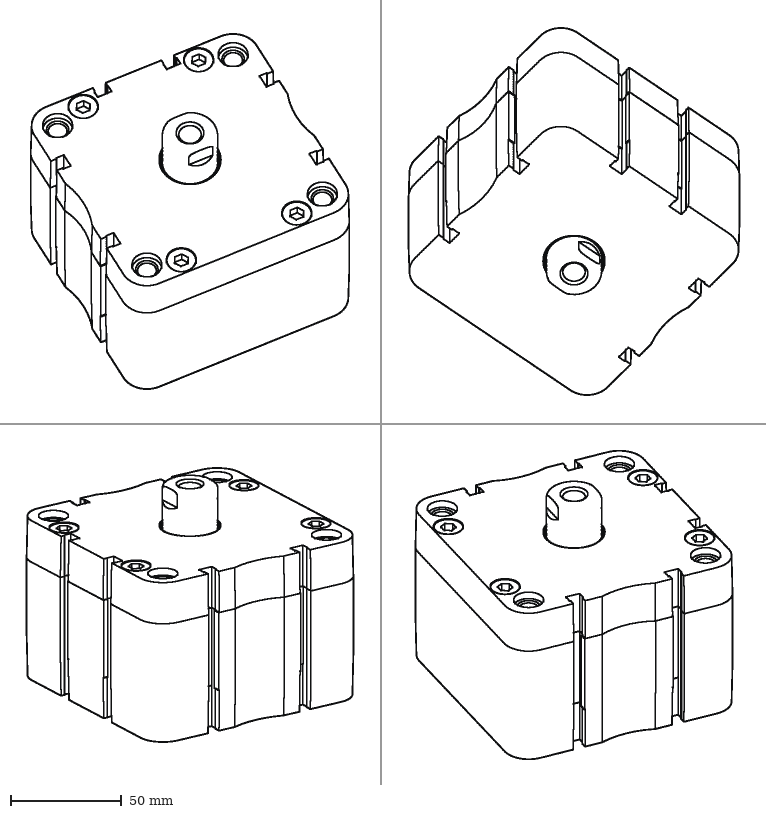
import cadquery as cq
import math

width = 113.5
corner_radius = 12.4
body_height = 77.1
end_height = 19.7
draft_angle = 1.2
half_width = width / 2
middle_height = body_height - 2 * end_height
middle_top = end_height + middle_height
end_inset = end_height * math.tan(math.radians(draft_angle))
overcut = 1.1

y_wall_slot = {
    "neck_inner": 21.9, "neck_outer": 27.8, "neck_depth": 3.4,
    "foot_inner": 21.3, "foot_outer": 28.3, "full_depth": 7.2,
}
x_wall_slot = {
    "neck_inner": 14.2, "neck_outer": 20.5, "neck_depth": 2.4,
    "foot_inner": 14.0, "foot_outer": 21.0, "full_depth": 6.0,
}
middle_neck_step = 0.5
middle_floor_step = 0.2

hollow_width = 26.7
hollow_depth = 2.7

mount_offset = 44.5
mount_counterbore = 13.5
mount_counterbore_depth = 3.4
mount_hole = 8.5
mount_rim = 10.1
mount_hole_depth = end_height

screw_x = 48.9
screw_y = 29.3
screw_head = 13.0
screw_recess = 13.5
screw_height = 8.0
screw_sink = 0.3
hex_across_flats = 6.0
hex_depth = 4.0

rod_diameter = 25.0
rod_above = 20.0
rod_below = 10.0
rod_edge_radius = 1.8
rod_bore = 10.1
rod_bore_rim = 12.5
flat_half_width = 10.9
flat_length = 7.4
rod_length = rod_below + body_height + rod_above

ring_mouth = 28.0
ring_outer = 26.9
ring_inner = 25.7
ring_ledge_depth = 1.1
ring_depth = 2.3


def at_z(z):
    return cq.Workplane("XY").workplane(offset=z)


def turned(shape, angle):
    """Shape turned about the Z axis."""
    return shape.rotate((0, 0, 0), (0, 0, 1), angle)


def block(x_range, y_range, z_range):
    """Axis-aligned block between pairs of limits."""
    (x0, x1), (y0, y1), (z0, z1) = x_range, y_range, z_range
    return cq.Workplane("XY").box(x1 - x0, y1 - y0, z1 - z0, centered=False).translate((x0, y0, z0))


def all_corners(x, y):
    return [(side_x * x, side_y * y) for side_x in (-1, 1) for side_y in (-1, 1)]



def square_prism(height, draft):
    """Rounded square standing on z = 0 that narrows upward by the draft."""
    outline = cq.Sketch().rect(width, width).vertices().fillet(corner_radius)
    return cq.Workplane("XY").placeSketch(outline).extrude(height, taper=draft)


def slot_pair(slot, height, neck_step, floor_step):
    """Cutter for two T-slots in the +X wall, mirrored about y = 0."""
    floor = half_width - slot["full_depth"] + floor_step
    shoulder = half_width - slot["neck_depth"]
    z_range = (-overcut, height + overcut)
    foot = block((floor, shoulder), (slot["foot_inner"], slot["foot_outer"]), z_range)
    neck_range = (slot["neck_inner"] + neck_step, slot["neck_outer"])
    cutter = foot.union(block((floor, half_width + overcut), neck_range, z_range))
    return cutter.union(cutter.mirror("XZ"))


def hollow(height, inset):
    """Cutter for the hollow in the +X wall, of constant width and floor as the wall draws in."""
    half_chord = hollow_width / 2
    outside = half_width + overcut
    cutter = cq.Workplane("XY")
    for wall, rise in ((half_width, 0), (half_width - inset, height)):
        cutter = (
            cutter.workplane(offset=rise)
            .moveTo(wall, -half_chord)
            .threePointArc((half_width - hollow_depth, 0), (wall, half_chord))
            .lineTo(outside, half_chord)
            .lineTo(outside, -half_chord)
            .close()
        )
    return cutter.loft(ruled=True)


def housing_length(height, draft, inset, neck_step, floor_step):
    """One length of the housing, standing on z = 0, with the slots and hollows in its walls."""
    length = square_prism(height, draft)
    length = length.cut(turned(slot_pair(x_wall_slot, height, neck_step, floor_step), 180))
    for wall_angle in (90, -90):
        length = length.cut(turned(slot_pair(y_wall_slot, height, neck_step, floor_step), wall_angle))
        length = length.cut(turned(hollow(height, inset), wall_angle))
    return length


def drafted_end():
    """End length with its outer face up and the rod passage through it."""
    end = housing_length(end_height, draft_angle, end_inset, 0, 0)
    return end.cut(rod_passage())


def rod_passage():
    """Cutter for the rod bore and the ring recess below the face at z = end_height."""
    bevel = (ring_mouth - ring_outer) / 2
    points = [
        (0, 0),
        (rod_diameter / 2, 0),
        (rod_diameter / 2, end_height - ring_depth),
        (ring_inner / 2, end_height - ring_depth),
        (ring_inner / 2, end_height - ring_ledge_depth),
        (ring_outer / 2, end_height - ring_ledge_depth),
        (ring_outer / 2, end_height - bevel),
        (ring_mouth / 2, end_height),
        (0, end_height),
    ]
    return cq.Workplane("XZ").polyline(points).close().revolve(360, (0, 0), (0, 1))



def mount_hole_cutter():
    """Counterbored blind hole with a countersunk rim, its mouth at z = 0 and running down."""
    rim = (mount_rim - mount_hole) / 2
    points = [
        (0, 0),
        (mount_counterbore / 2, 0),
        (mount_counterbore / 2, -mount_counterbore_depth),
        (mount_rim / 2, -mount_counterbore_depth),
        (mount_hole / 2, -mount_counterbore_depth - rim),
        (mount_hole / 2, -mount_hole_depth),
        (0, -mount_hole_depth),
    ]
    return cq.Workplane("XZ").polyline(points).close().revolve(360, (0, 0), (0, 1))


def make_cap():
    cap = drafted_end()
    for x, y in all_corners(mount_offset, mount_offset):
        cap = cap.cut(mount_hole_cutter().translate((x, y, end_height)))
    recess_depth = screw_sink + screw_height
    recesses = (
        at_z(end_height - recess_depth)
        .pushPoints(all_corners(screw_x, screw_y))
        .circle(screw_recess / 2)
        .extrude(recess_depth)
    )
    return cap.cut(recesses).translate((0, 0, middle_top))



def make_barrel():
    """Middle length of the housing with the bottom end in one piece."""
    middle = housing_length(middle_height, 0, 0, middle_neck_step, middle_floor_step)
    middle = middle.cut(cq.Workplane("XY").circle(rod_diameter / 2).extrude(middle_height))
    bottom_end = drafted_end().mirror("XY")
    return middle.union(bottom_end).translate((0, 0, end_height))



def make_screw(x, y):
    """Screw head with a hexagon socket."""
    top = body_height - screw_sink
    hex_across_corners = hex_across_flats / math.cos(math.radians(30))
    head = at_z(top - screw_height).circle(screw_head / 2).extrude(screw_height)
    socket = at_z(top - hex_depth).polygon(6, hex_across_corners).extrude(hex_depth)
    return head.cut(turned(socket, 30)).translate((x, y, 0))



def flat_cutter():
    """Cutter for the +X wrench flat of a rod end whose tip is at z = 0, with a 45 degree run-out."""
    runout = rod_diameter / 2 - flat_half_width + overcut
    points = [
        (flat_half_width, overcut),
        (flat_half_width, -flat_length),
        (flat_half_width + runout, -flat_length - runout),
        (flat_half_width + runout, overcut),
    ]
    return cq.Workplane("XZ").polyline(points).close().extrude(rod_diameter / 2, both=True)


def make_rod():
    rod = cq.Workplane("XY").circle(rod_diameter / 2).circle(rod_bore / 2).extrude(rod_length)
    rod = rod.edges(cq.selectors.RadiusNthSelector(-1)).fillet(rod_edge_radius)
    bottom_rim = cq.Workplane(cq.Solid.makeCone(rod_bore_rim / 2, 0, rod_bore_rim / 2))
    bottom_flat = flat_cutter().mirror("XY")
    top_rim = bottom_rim.mirror("XY").translate((0, 0, rod_length))
    top_flat = flat_cutter().translate((0, 0, rod_length))
    rod = rod.cut(bottom_rim).cut(top_rim)
    for angle in (0, 180):
        rod = rod.cut(turned(bottom_flat, angle)).cut(turned(top_flat, angle))
    return rod.translate((0, 0, -rod_below))


cap = make_cap()
barrel = make_barrel()
rod = make_rod()
screws = [make_screw(x, y).val() for x, y in all_corners(screw_x, screw_y)]

result = cq.Compound.makeCompound([cap.val(), barrel.val(), rod.val(), *screws])